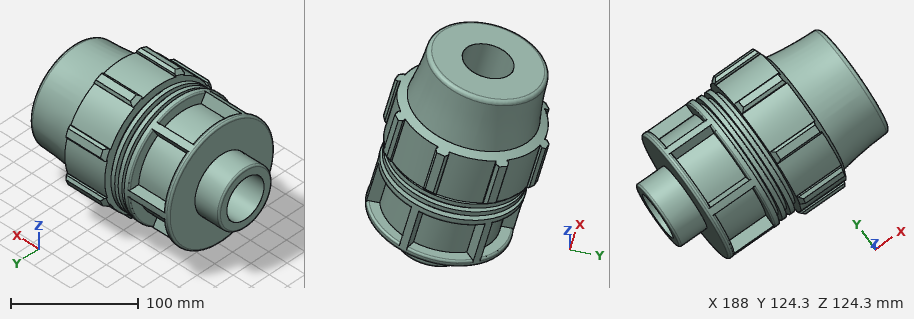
import cadquery as cq
import math

length = 188.0
flange_start = 26.1
front_rim_width = 5.8
rear_rim_start = 69.2
flange_end = 74.6
seal_ring_starts = (78.2, 86.1)
seal_ring_width = 4.1
nut_start = 94.2
nut_end = 137.6
shoulder_end = 140.8

bore_diameter = 41.7
spigot_diameter = 59.6
flange_diameter = 118.8
seal_ring_diameter = 116.4
core_diameter = 105.7
window_floor_diameter = 97.8
nut_diameter = 122.2
shoulder_radius = 53.5
tail_middle_x = 163.5
tail_middle_radius = 50.4
tail_end_radius = 49.0

spigot_edge_radius = 1.7
front_rim_edge_radius = 1.9
rear_rim_edge_radius = 1.3
tail_edge_radius = 3.5

rib_count = 6
rib_width = 6.8

lug_count = 8
lug_top_radius = 65.8
lug_top_width = 7.1
lug_widest_radius = 63.0
lug_widest_width = 11.3
lug_base_width = 10.0
lug_bevel_base_radius = 62.2
lug_root_depth = 1.9

flange_radius = flange_diameter / 2
nut_radius = nut_diameter / 2
lug_root_radius = nut_radius - lug_root_depth
lug_corner_radius = math.hypot(lug_top_radius, lug_top_width / 2)
front_rim_end = flange_start + front_rim_width


def disc(start, end, diameter):
    """Solid cylinder on the X axis between two stations."""
    return cq.Workplane("YZ", origin=(start, 0, 0)).circle(diameter / 2).extrude(end - start)


def revolve_about_x(outline):
    """Turn a closed (x, radius) outline around the X axis."""
    return outline.close().revolve(360, (0, 0, 0), (1, 0, 0))


def spigot():
    return disc(0, flange_start, spigot_diameter).faces("<X").edges().fillet(spigot_edge_radius)


def grooved_flange():
    """Two rims with rounded edges, joined only by the window floor."""
    front_rim = disc(flange_start, front_rim_end, flange_diameter).edges().fillet(front_rim_edge_radius)
    rear_rim = disc(rear_rim_start, flange_end, flange_diameter)
    rear_rim = rear_rim.faces("<X").edges().fillet(rear_rim_edge_radius)
    return front_rim.union(disc(flange_start, flange_end, window_floor_diameter)).union(rear_rim)


def flange():
    """Plain flange with windows cut between the ribs, so that ribs and rims share one surface."""
    blank = disc(flange_start, flange_end, flange_diameter)
    blank = blank.faces("<X").edges().fillet(front_rim_edge_radius)
    windows = blank.cut(grooved_flange())
    rib = cq.Workplane("XY").box(flange_end, flange_radius, rib_width, centered=(False, False, True))
    for index in range(rib_count):
        windows = windows.cut(rib.rotate((0, 0, 0), (1, 0, 0), index * 360 / rib_count))
    return blank.cut(windows)


def sealing_section():
    section = disc(flange_end, nut_start, core_diameter)
    for start in seal_ring_starts:
        section = section.union(disc(start, start + seal_ring_width, seal_ring_diameter))
    return section


def tail():
    """Concave tail that narrows to a rounded end."""
    outline = (
        cq.Workplane("XY")
        .moveTo(shoulder_end, 0)
        .lineTo(shoulder_end, shoulder_radius)
        .threePointArc((tail_middle_x, tail_middle_radius), (length, tail_end_radius))
        .lineTo(length, 0)
    )
    return revolve_about_x(outline).faces(">X").edges().fillet(tail_edge_radius)


def nut_envelope():
    """Turned limit of nut and lugs: 45 degree front bevel, straight barrel, sloping shoulder."""
    front_bevel = lug_corner_radius - lug_bevel_base_radius
    shoulder_slope = (shoulder_end - nut_end) / (nut_radius - shoulder_radius)
    bevel_start = nut_end - (lug_corner_radius - nut_radius) * shoulder_slope
    outline = (
        cq.Workplane("XY")
        .moveTo(nut_start, 0)
        .lineTo(nut_start, lug_bevel_base_radius)
        .lineTo(nut_start + front_bevel, lug_corner_radius)
        .lineTo(bevel_start, lug_corner_radius)
        .lineTo(shoulder_end, shoulder_radius)
        .lineTo(shoulder_end, 0)
    )
    return revolve_about_x(outline)


def lug_prism():
    """One lug, full length of the nut, centred on the Y axis."""
    half_outline = [
        (lug_root_radius, lug_base_width / 2),
        (nut_radius, lug_base_width / 2),
        (lug_widest_radius, lug_widest_width / 2),
        (lug_top_radius, lug_top_width / 2),
    ]
    mirrored_half = [(radius, -across) for radius, across in reversed(half_outline)]
    section = cq.Workplane("YZ", origin=(nut_start, 0, 0)).polyline(half_outline + mirrored_half)
    return section.close().extrude(shoulder_end - nut_start)


def nut():
    body = disc(nut_start, shoulder_end, nut_diameter)
    lug = lug_prism()
    pitch = 360 / lug_count
    for index in range(lug_count):
        body = body.union(lug.rotate((0, 0, 0), (1, 0, 0), (index + 0.5) * pitch))
    return body.intersect(nut_envelope())


result = spigot().union(flange()).union(sealing_section()).union(nut()).union(tail())
result = result.cut(disc(0, length, bore_diameter))